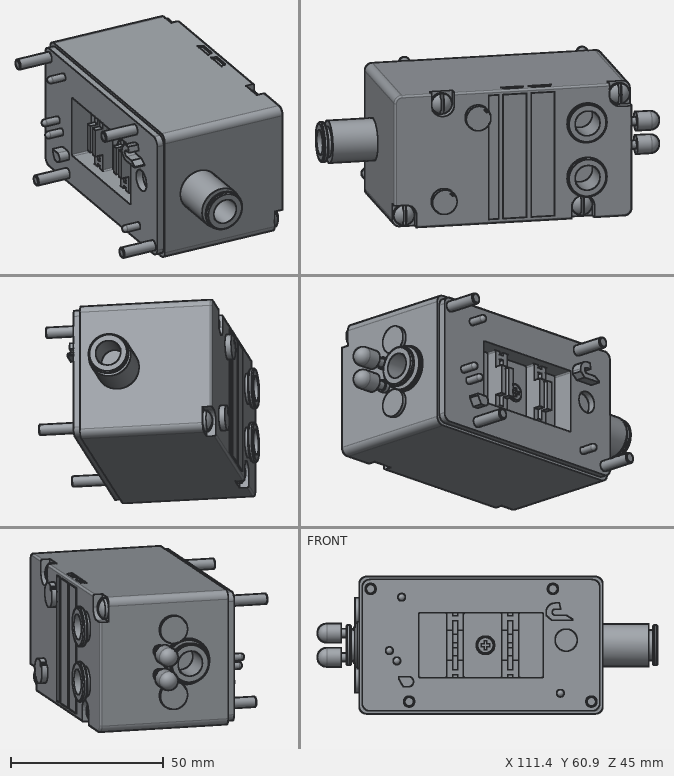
import cadquery as cq
import math


body_length = 79.7
body_height = 45.0
body_back = 46.2
corner_radius = 2.6
back_edge_round = 0.7
plate_thickness = 2.3
plate_inset = 1.0
body_left = -body_length / 2
body_right = body_length / 2
body_top = body_height / 2

screw_row_spacing = 36.9
screw_z = screw_row_spacing / 2
outer_screw_x = 36.1
inner_screw_x = 23.5
screw_radius = 1.8
screw_length = 11.8
screw_tip_chamfer = 0.3
head_radius = 3.5
head_rim_height = 1.1
head_dome_height = 1.6
head_slot_width = 1.0
head_pocket_radius = 3.8
head_pocket_depth = 3.1

contact_pin_places = [(-26.0, 15.7), (-30.0, -1.8), (-27.5, -5.1), (26.0, -15.7)]
contact_pin_radius = 1.2
contact_pin_length = 6.0

coding_height = 3.7
hook_center = (24.3, 10.8)
hook_outer_radius = 3.0
hook_inner_radius = 1.0
hook_upper_arm = (25.6, 26.1)
hook_foot_x = 23.2
hook_side_low = 9.8
hook_bottom = 8.1
hook_tail_x = 30.1
hook_tail_tip = 0.3
hook_mouth_x = 27.8
stud_center = (-23.7, -11.9)
stud_radius = 1.7
stud_left = -27.0
stud_step = 0.7
stud_foot_x = -25.4
locating_hole_place = (27.8, 1.7)
locating_hole_diameter = 7.2
locating_hole_depth = 2.5

window_length = 40.8
window_height = 21.2
window_depth = 7.2
window_corner_radius = 0.5
rib_width = 5.5
rib_spacing = 18.0
rib_center_x = 0.6
rib_places = (rib_center_x - rib_spacing / 2, rib_center_x + rib_spacing / 2)
rib_height = 3.7
prong_height = 2.7
prong_length = 9.7
slot_width = 1.6
slot_length = 16.0
slot_depth = 2.2
end_slot_length = 1.0
contact_length = 2.7
contact_gap = 1.7
contact_height = 0.7
window_screw_x = 1.5
window_screw_radius = 3.0
window_screw_height = 0.7
window_screw_chamfer = 0.5
cross_length = 2.9
cross_width = 0.9
cross_depth = 0.6

collar_height = 2.9
collar_neck_radius = 5.0
flange_diameter = 13.3
flange_thickness = 1.7
flange_chamfer = 0.5
bore_diameter = 8.4
bore_depth = 11.1
left_fitting_y = 16.6
left_base_steps = [(7.7, 0.7), (7.2, 1.3)]
right_fitting_y = 15.0
right_barrel_radius = 7.0
right_end = 57.8
back_fitting_x = -24.3
back_fitting_spacing = 18.4
back_fitting_center_z = 1.1

plug_y = 26.0
plug_spacing = 7.9
plug_diameter = 6.3
plug_radius = plug_diameter / 2
plug_tip = -53.6
plug_cap_end = -45.7
plug_stem_radius = 1.5
plug_flange_radius = 2.0
plug_flange_thickness = 1.7
cover_y = 21.3
cover_spacing = 21.9
cover_diameter = 9.2
cover_thickness = 1.3

button_places = [(12.0, 13.8), (23.4, -13.8)]
button_radius = 4.1
button_height = 2.0
button_notch_width = 1.1
button_notch_depth = 0.9
button_notch_angle = -135
strip_spans = [(-13.8, -6.0), (-4.5, 3.5), (4.9, 8.2)]
strip_length = 41.9
strip_height = 0.3
recess_places = (-9.7, -0.3)
recess_front_y = 42.8
recess_width = 1.8
recess_long_side = 7.6
recess_short_side = 5.8
recess_depth = 0.7


def facing_back(y, x=0.0, z=0.0):
    """Workplane with local axes +X and +Z whose positive extrusion runs towards -Y."""
    return cq.Workplane("XZ", origin=(x, y, z))


def block(x_span, y_span, z_span):
    """Axis-aligned box between the given limits."""
    spans = (x_span, y_span, z_span)
    sizes = [high - low for low, high in spans]
    corner = tuple(low for low, high in spans)
    return cq.Workplane("XY").box(*sizes, centered=False).translate(corner)


def rod(start, direction, radius, length):
    """Cylinder from a start point along a direction."""
    return cq.Workplane(obj=cq.Solid.makeCylinder(radius, length, cq.Vector(*start), cq.Vector(*direction)))


def cross(plane, length, width, depth):
    """Cross-shaped drive recess extruded from a plane."""
    return plane.rect(length, width).extrude(depth).union(plane.rect(width, length).extrude(depth))


def housing():
    """Rounded housing with the inset base plate at its front."""
    shell = facing_back(body_back).rect(body_length, body_height).extrude(body_back - plate_thickness)
    shell = shell.edges("|Y").fillet(corner_radius).faces(">Y").edges().fillet(back_edge_round)
    plate = facing_back(plate_thickness).rect(body_length - 2 * plate_inset, body_height - 2 * plate_inset)
    return shell.union(plate.extrude(plate_thickness).edges("|Y").fillet(corner_radius))


def head_pocket(x, opens_sideways):
    """U-shaped pocket in the back top edge; the corner pocket also opens through the left face."""
    floor_y = body_back - head_pocket_depth
    depth_span = (floor_y, body_back)
    pocket = rod((x, floor_y, screw_z), (0, 1, 0), head_pocket_radius, head_pocket_depth)
    pocket = pocket.union(
        block((x - head_pocket_radius, x + head_pocket_radius), depth_span, (screw_z, body_top))
    )
    if opens_sideways:
        pocket = pocket.union(block((body_left, x), depth_span, (screw_z - head_pocket_radius, body_top)))
    return pocket


def mounting_screw(x):
    """Screw shank below the plate and domed head in its pocket."""
    shank = facing_back(0, x, screw_z).circle(screw_radius).extrude(screw_length)
    shank = shank.faces("<Y").chamfer(screw_tip_chamfer)
    seat_y = body_back - head_pocket_depth
    head_height = head_rim_height + head_dome_height
    dome_radius = (head_radius**2 + head_dome_height**2) / (2 * head_dome_height)
    mid_angle = math.asin(head_radius / dome_radius) / 2
    dome_mid = (
        dome_radius * math.sin(mid_angle),
        head_height - dome_radius * (1 - math.cos(mid_angle)),
    )
    head = (
        cq.Workplane("XY")
        .lineTo(head_radius, 0)
        .lineTo(head_radius, head_rim_height)
        .threePointArc(dome_mid, (0, head_height))
        .close()
        .revolve(360, (0, 0, 0), (0, 1, 0))
    )
    drive = facing_back(head_height).rect(head_slot_width, 2 * head_radius).extrude(head_dome_height)
    return shank.union(head.cut(drive).translate((x, seat_y, screw_z)))


def contact_pin(x, z):
    """Round pin with a hemispherical tip."""
    straight = contact_pin_length - contact_pin_radius
    pin = rod((x, 0, z), (0, -1, 0), contact_pin_radius, straight)
    return pin.union(cq.Workplane("XY").sphere(contact_pin_radius).translate((x, -straight, z)))


def coding_hook():
    """Hook-shaped boss: two arcs around one center, with a straight tail."""
    x, z = hook_center
    outer_end, inner_end = hook_upper_arm
    diagonal = hook_outer_radius * math.sqrt(0.5)
    hook = (
        facing_back(0)
        .moveTo(outer_end, z + hook_outer_radius)
        .lineTo(x, z + hook_outer_radius)
        .threePointArc((x - diagonal, z + diagonal), (x - hook_outer_radius, z))
        .lineTo(x - hook_outer_radius, hook_side_low)
        .lineTo(hook_foot_x, hook_bottom)
        .lineTo(hook_tail_x, hook_bottom)
        .lineTo(hook_tail_x, hook_bottom + hook_tail_tip)
        .lineTo(hook_mouth_x, z - hook_inner_radius)
        .lineTo(x, z - hook_inner_radius)
        .threePointArc((x - hook_inner_radius, z), (x, z + hook_inner_radius))
        .lineTo(inner_end, z + hook_inner_radius)
        .close()
    )
    return hook.extrude(coding_height)


def coding_stud():
    """D-shaped boss with one slanted end."""
    x, z = stud_center
    top = z + stud_radius
    bottom = z - stud_radius
    stud = (
        facing_back(0)
        .moveTo(x, top)
        .lineTo(stud_left, top)
        .lineTo(stud_left, top - stud_step)
        .lineTo(stud_foot_x, bottom)
        .lineTo(x, bottom)
        .threePointArc((x + stud_radius, z), (x, top))
        .close()
    )
    return stud.extrude(coding_height)


def window_cut():
    """Window with three full-depth bays separated by the lower rib blocks."""
    half_length = window_length / 2
    left_rib, right_rib = rib_places
    half_rib = rib_width / 2
    bays = [
        (-half_length, left_rib - half_rib),
        (left_rib + half_rib, right_rib - half_rib),
        (right_rib + half_rib, half_length),
    ]
    rib_face = window_depth - rib_height
    opening = facing_back(rib_face).rect(window_length, window_height).extrude(rib_face)
    opening = opening.edges("|Y").fillet(window_corner_radius)
    for low, high in bays:
        bay = facing_back(window_depth, (low + high) / 2).rect(high - low, window_height)
        opening = opening.union(bay.extrude(window_depth).edges("|Y").fillet(window_corner_radius))
    return opening


def prongs(x):
    """Raised middle stretch of a rib."""
    return facing_back(window_depth - rib_height, x).rect(rib_width, prong_length).extrude(prong_height)


def rib_slots(x):
    """Long slot down a rib with contacts left standing in it, and a short slot at each end."""
    slot_floor = window_depth - rib_height + slot_depth
    slot = facing_back(slot_floor, x).rect(slot_width, slot_length).extrude(slot_depth + prong_height)
    contact_offset = (contact_gap + contact_length) / 2
    for z in (-contact_offset, contact_offset):
        contact = facing_back(slot_floor, x, z).rect(slot_width, contact_length).extrude(contact_height)
        slot = slot.cut(contact)
    for side in (-1, 1):
        z = side * (window_height - end_slot_length) / 2
        end_slot = facing_back(slot_floor, x, z).rect(slot_width, end_slot_length).extrude(slot_depth)
        slot = slot.union(end_slot)
    return slot


def window_screw():
    """Screw head on the window floor."""
    head = facing_back(window_depth, window_screw_x).circle(window_screw_radius).extrude(window_screw_height)
    head = head.faces("<Y").chamfer(window_screw_chamfer)
    recess_floor = window_depth - window_screw_height + cross_depth
    return head.cut(cross(facing_back(recess_floor, window_screw_x), cross_length, cross_width, cross_depth))


def collar(start, direction):
    """Release collar of a tube fitting: neck and flange."""
    flange_foot = (0, 0, collar_height - flange_thickness)
    flange = rod(flange_foot, (0, 0, 1), flange_diameter / 2, flange_thickness)
    ring = cq.Workplane("XY").circle(collar_neck_radius).extrude(collar_height)
    ring = ring.union(flange.edges().chamfer(flange_chamfer))
    return cq.Workplane(obj=ring.val().moved(cq.Location(cq.Plane(start, normal=direction))))


def bore(start, direction):
    """Tube bore measured from the outer end of the collar whose foot is at start."""
    end = tuple(place + collar_height * step for place, step in zip(start, direction))
    inward = tuple(-step for step in direction)
    return rod(end, inward, bore_diameter / 2, bore_depth)


def plug(z):
    """Round-ended cap on a stem with a small flange at the housing."""
    cap_center = plug_tip + plug_radius
    cap = rod((cap_center, plug_y, z), (1, 0, 0), plug_radius, plug_cap_end - cap_center)
    cap = cap.union(cq.Workplane("XY").sphere(plug_radius).translate((cap_center, plug_y, z)))
    stem = rod((plug_cap_end, plug_y, z), (1, 0, 0), plug_stem_radius, body_left - plug_cap_end)
    flange = rod((body_left, plug_y, z), (-1, 0, 0), plug_flange_radius, plug_flange_thickness)
    return cap.union(stem).union(flange)


def button(x, z):
    """Round button with a notch in its rim, pointing to -X and +Z."""
    key = rod((0, body_back, 0), (0, 1, 0), button_radius, button_height)
    notch = block(
        (button_radius - button_notch_depth, button_radius),
        (body_back, body_back + button_height),
        (-button_notch_width / 2, button_notch_width / 2),
    )
    return key.cut(notch.rotate((0, 0, 0), (0, 1, 0), button_notch_angle)).translate((x, 0, z))


def top_recess(x):
    """Shallow trapezoid in the top face, wider towards the front."""
    outline = [
        (x - recess_long_side / 2, recess_front_y),
        (x + recess_long_side / 2, recess_front_y),
        (x + recess_short_side / 2, recess_front_y + recess_width),
        (x - recess_short_side / 2, recess_front_y + recess_width),
    ]
    return cq.Workplane("XY", origin=(0, 0, body_top)).polyline(outline).close().extrude(-recess_depth)


def half_turn(shape):
    """Image of a shape turned 180 degrees about the Y axis."""
    return shape.rotate((0, 0, 0), (0, 1, 0), 180)


result = housing()
for screw_x, opens_sideways in ((-outer_screw_x, True), (inner_screw_x, False)):
    pocket = head_pocket(screw_x, opens_sideways)
    screw = mounting_screw(screw_x)
    result = result.cut(pocket).cut(half_turn(pocket)).union(screw).union(half_turn(screw))

result = result.cut(window_cut()).union(window_screw())
for rib_x in rib_places:
    result = result.union(prongs(rib_x)).cut(rib_slots(rib_x))
for pin_x, pin_z in contact_pin_places:
    result = result.union(contact_pin(pin_x, pin_z))
result = result.union(coding_hook()).union(coding_stud())
hole_x, hole_z = locating_hole_place
result = result.cut(rod((hole_x, 0, hole_z), (0, 1, 0), locating_hole_diameter / 2, locating_hole_depth))

for side in (-1, 1):
    result = result.union(plug(side * plug_spacing / 2))
    cover_start = (body_left, cover_y, side * cover_spacing / 2)
    result = result.union(rod(cover_start, (-1, 0, 0), cover_diameter / 2, cover_thickness))
for step_radius, step_height in left_base_steps:
    result = result.union(rod((body_left, left_fitting_y, 0), (-1, 0, 0), step_radius, step_height))

barrel_end = right_end - collar_height
result = result.union(
    rod((body_right, right_fitting_y, 0), (1, 0, 0), right_barrel_radius, barrel_end - body_right)
)

fittings = [
    ((body_left - left_base_steps[-1][1], left_fitting_y, 0), (-1, 0, 0)),
    ((barrel_end, right_fitting_y, 0), (1, 0, 0)),
]
for side in (-1, 1):
    fitting_z = back_fitting_center_z + side * back_fitting_spacing / 2
    fittings.append(((back_fitting_x, body_back, fitting_z), (0, 1, 0)))
for start, direction in fittings:
    result = result.union(collar(start, direction)).cut(bore(start, direction))

for button_x, button_z in button_places:
    result = result.union(button(button_x, button_z))
for span in strip_spans:
    half_strip = strip_length / 2
    result = result.union(block(span, (body_back, body_back + strip_height), (-half_strip, half_strip)))
for recess_x in recess_places:
    result = result.cut(top_recess(recess_x))